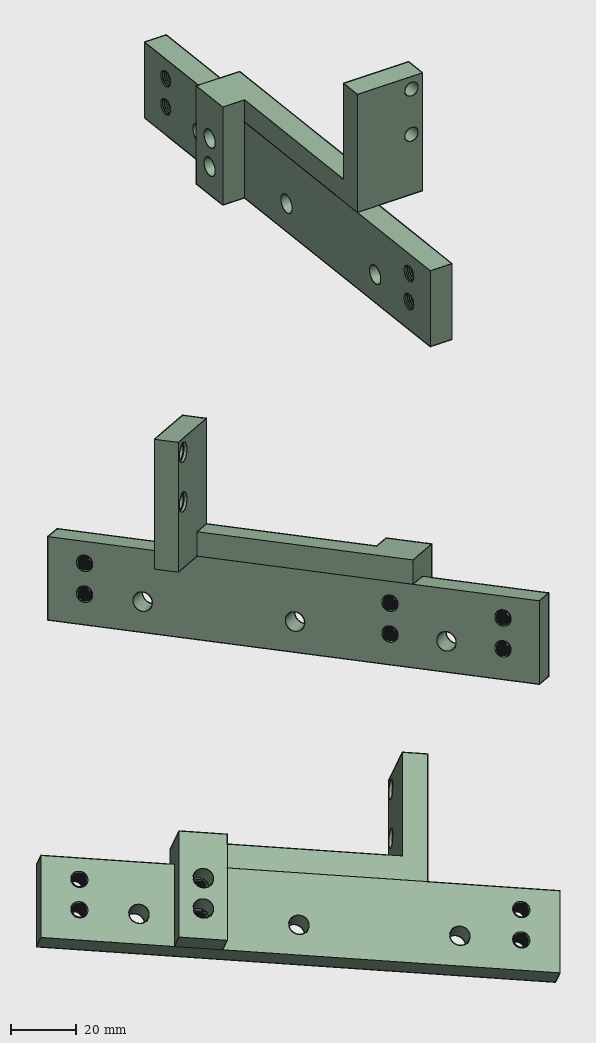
import cadquery as cq

plate_length = 161.0
plate_thickness = 7.9
plate_height = 27.0
lower_row_z = 10.0
upper_row_z = 20.0
mounting_hole_diameter = 6.3
mounting_hole_xs = (30.5, 80.0, 130.0)

thread_bore_diameter = 4.5
thread_root_diameter = 5.3
thread_groove_count = 12
thread_pitch = plate_thickness / thread_groove_count
threaded_hole_xs = (11.9, 49.0, 149.0)

block_x = 41.4
block_width = 15.0
block_depth = plate_thickness
block_hole_diameter = 6.3
block_hole_x = 49.0
rail_height = 7.9
tab_x = 112.0
tab_width = 7.9
tab_top_z = 69.0
tab_overhang = 15.8
tab_depth = plate_thickness + tab_overhang
tab_hole_diameter = 4.8
tab_counterbore_diameter = 6.3
tab_counterbore_depth = 1.0
tab_hole_back_inset = 4.0
tab_hole_top_inset = 4.5
tab_hole_spacing = 16.1


def box(x, y, z, length, depth, height):
    """Box with its lowest corner at (x, y, z)."""
    return cq.Workplane("XY").box(length, depth, height, centered=False).translate((x, y, z))


def cylinder_along_y(x, y, z, diameter, length):
    """Cylinder that starts at (x, y, z) and runs toward +Y."""
    return cq.Workplane("XZ").circle(diameter / 2).extrude(-length).translate((x, y, z))


def threaded_hole_cutter(x, z):
    """Bore through the plate with V-shaped thread grooves side by side."""
    bore_radius = thread_bore_diameter / 2
    root_radius = thread_root_diameter / 2
    profile = cq.Workplane("XY").moveTo(0, 0).lineTo(root_radius, 0)
    for groove in range(thread_groove_count):
        start = groove * thread_pitch
        profile = profile.lineTo(bore_radius, start + thread_pitch / 2)
        profile = profile.lineTo(root_radius, start + thread_pitch)
    profile = profile.lineTo(0, plate_thickness).close()
    return profile.revolve(360, (0, 0, 0), (0, 1, 0)).translate((x, 0, z))


def make_plate():
    """Flat bar with three mounting holes and three pairs of threaded holes."""
    plate = box(0, 0, 0, plate_length, plate_thickness, plate_height)
    for x in mounting_hole_xs:
        plate = plate.cut(cylinder_along_y(x, 0, lower_row_z, mounting_hole_diameter, plate_thickness))
    for x in threaded_hole_xs:
        for z in (lower_row_z, upper_row_z):
            plate = plate.cut(threaded_hole_cutter(x, z))
    return plate


def tab_hole_cutter(y, z):
    """Hole along X through the tab, with a shallow counterbore in the -X face."""
    bore = cq.Workplane("YZ").circle(tab_hole_diameter / 2).extrude(tab_width)
    counterbore = cq.Workplane("YZ").circle(tab_counterbore_diameter / 2).extrude(tab_counterbore_depth)
    return bore.union(counterbore).translate((tab_x, y, z))


def make_bracket():
    """Block in front of the plate, joined by a rail on its top edge to the upright tab."""
    block = box(block_x, -block_depth, 0, block_width, block_depth, plate_height + rail_height)
    rail = box(block_x, 0, plate_height, tab_x - block_x, plate_thickness, rail_height)
    tab = box(tab_x, 0, plate_height, tab_width, tab_depth, tab_top_z - plate_height)
    bracket = block.union(rail).union(tab)

    for z in (lower_row_z, upper_row_z):
        bracket = bracket.cut(
            cylinder_along_y(block_hole_x, -block_depth, z, block_hole_diameter, block_depth)
        )

    upper_hole_z = tab_top_z - tab_hole_top_inset
    for z in (upper_hole_z, upper_hole_z - tab_hole_spacing):
        bracket = bracket.cut(tab_hole_cutter(tab_depth - tab_hole_back_inset, z))
    return bracket


plate = make_plate()
bracket = make_bracket()
result = cq.Compound.makeCompound([plate.val(), bracket.val()])